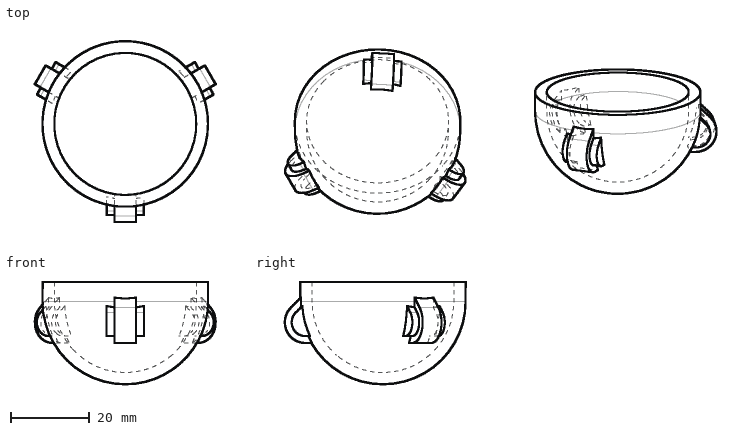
import cadquery as cq
import math

OUTER_RADIUS = 21.0
INNER_RADIUS = 18.0
RIM_HEIGHT = 5.0

LUG_COUNT = 3
FIRST_LUG_ANGLE = -90.0
LUG_REACH = 24.9
LUG_RADIUS = 5.27
LUG_WIDTH = 5.5
BOSS_RADIUS = 3.5
BOSS_WIDTH = 9.5
LUG_CENTER_RADIUS = LUG_REACH - LUG_RADIUS
LUG_CENTER_Z = -5.27
LUG_TOP_SLOPE = 45.0

SLOPE_END_RADIUS = (INNER_RADIUS + OUTER_RADIUS) / 2

LUG_ROOT_RADIUS = SLOPE_END_RADIUS - LUG_RADIUS


def bowl_body(radius):
    """Solid of revolution: quarter circle below the origin, cylinder up to the rim."""
    diagonal = radius * math.sqrt(0.5)
    return (
        cq.Workplane("XZ")
        .moveTo(0, -radius)
        .threePointArc((diagonal, -diagonal), (radius, 0))
        .lineTo(radius, RIM_HEIGHT)
        .lineTo(0, RIM_HEIGHT)
        .close()
        .revolve(360, (0, 0, 0), (0, 1, 0))
    )


def ear(radius, width):
    """Rounded ear along +X: flat underside, round nose and a sloping tangent top."""
    slope = math.radians(LUG_TOP_SLOPE)
    tangent_x = LUG_CENTER_RADIUS + radius * math.sin(slope)
    tangent_z = LUG_CENTER_Z + radius * math.cos(slope)
    root_top_z = tangent_z + (tangent_x - SLOPE_END_RADIUS) * math.tan(slope)
    return (
        cq.Workplane("XZ")
        .moveTo(LUG_ROOT_RADIUS, LUG_CENTER_Z - radius)
        .lineTo(LUG_CENTER_RADIUS, LUG_CENTER_Z - radius)
        .threePointArc((LUG_CENTER_RADIUS + radius, LUG_CENTER_Z), (tangent_x, tangent_z))
        .lineTo(SLOPE_END_RADIUS, root_top_z)
        .lineTo(LUG_ROOT_RADIUS, root_top_z)
        .close()
        .extrude(width / 2, both=True)
    )


lug = ear(LUG_RADIUS, LUG_WIDTH).union(ear(BOSS_RADIUS, BOSS_WIDTH))

body = bowl_body(OUTER_RADIUS)
for index in range(LUG_COUNT):
    angle = FIRST_LUG_ANGLE + index * 360.0 / LUG_COUNT
    body = body.union(lug.rotate((0, 0, 0), (0, 0, 1), angle))

result = body.cut(bowl_body(INNER_RADIUS))